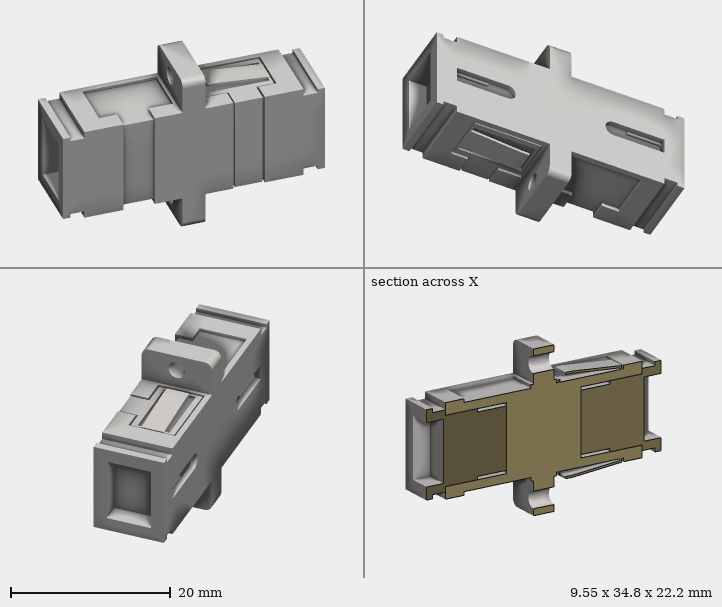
import cadquery as cq
import math

TOTAL_LENGTH = 34.8
WIDTH = 9.55

HOUSING_LENGTH = 29.13
HOUSING_HEIGHT = 12.9
HOUSING_END = HOUSING_LENGTH / 2
HOUSING_TOP = HOUSING_HEIGHT / 2
SIDE = WIDTH / 2

FLANGE_THICKNESS = 3.05
FLANGE_HEIGHT = 22.25
FLANGE_CORNER_RADIUS = 1.0
FLANGE_HOLE_DIAMETER = 2.3
FLANGE_HOLE_SPACING = 18.0

RECESS_DEPTH = 0.5
RECESS_LEFT = -4.0
RECESS_RIGHT = 2.35
RECESS_NEAR = 1.95
RECESS_FAR = 11.8
NECK_NEAR = 5.22
NECK_FAR = 9.4

CLIP_GAP = 0.25
CLIP_THICKNESS = 0.4
CLIP_WINDOW_LEFT = -3.0
CLIP_WINDOW_RIGHT = 1.32
CLIP_WINDOW_NEAR = 2.47
CLIP_WINDOW_FAR = 11.25

TONGUE_LEFT = -2.35
TONGUE_RIGHT = 0.7
TONGUE_BEND = 4.25
TONGUE_TIP = 3.15
TONGUE_TOP = 7.1
TONGUE_THICKNESS = 0.35
TONGUE_ANGLE = 5.0

CAP_NECK_HEIGHT = 11.0
CAP_RIM_HEIGHT = 12.08
CAP_RIM_THICKNESS = 0.97
CAP_LENGTH = (TOTAL_LENGTH - HOUSING_LENGTH) / 2
CAP_END = HOUSING_END + CAP_LENGTH
POCKET_WIDTH = 6.0
POCKET_HEIGHT = 8.5
POCKET_DEPTH = 2.5

WALL = 0.8
SLOT_LENGTH = 8.25
SLOT_HEIGHT = 2.23

COLLAR_WIDTH = WIDTH - 2 * WALL
COLLAR_HEIGHT = CAP_NECK_HEIGHT - 2 * WALL
COLLAR_LENGTH = 4.8
COLLAR_STEP = 0.4
NOSE_WIDTH = COLLAR_WIDTH - 2 * COLLAR_STEP
NOSE_HEIGHT = COLLAR_HEIGHT - 2 * COLLAR_STEP
PLUG_LENGTH = SLOT_LENGTH + WALL

CHANNEL_FLOOR = -NOSE_WIDTH / 2
CHANNEL_BOTTOM = -SLOT_HEIGHT / 2
EDGE_RADIUS = 0.25
EDGE_CURL_RADIUS = 0.28


def block(x_range, y_range, z_range):
    """Box between the given limits along each axis."""
    sizes = [high - low for low, high in (x_range, y_range, z_range)]
    corner = (x_range[0], y_range[0], z_range[0])
    return cq.Workplane("XY").box(*sizes, centered=False).translate(corner)


def end_block(width, height, y_start, y_end):
    """Box centred on the Y axis between two places along it."""
    return block((-width / 2, width / 2), (y_start, y_end), (-height / 2, height / 2))


def mirrored_pair(shape, plane):
    """The shape together with its mirror image."""
    return shape.union(shape.mirror(plane))


def flange():
    """Upright plate with rounded corners."""
    plate = cq.Workplane("XY").box(WIDTH, FLANGE_THICKNESS, FLANGE_HEIGHT)
    return plate.edges("|Y").fillet(FLANGE_CORNER_RADIUS)


def flange_holes():
    """Two screw holes through the flange."""
    return (
        cq.Workplane("XZ")
        .pushPoints([(0, FLANGE_HOLE_SPACING / 2), (0, -FLANGE_HOLE_SPACING / 2)])
        .circle(FLANGE_HOLE_DIAMETER / 2)
        .extrude(FLANGE_THICKNESS, both=True)
    )


def wrap_band(inset, depth_below_surface, thickness):
    """U-shaped layer over the top, +X side and bottom, shrunk by the inset along its outline."""
    outer_side = SIDE - depth_below_surface
    outer_top = HOUSING_TOP - depth_below_surface
    panel_x = (RECESS_LEFT + inset, RECESS_RIGHT - inset)
    panel_y = (RECESS_NEAR + inset, RECESS_FAR - inset)
    neck_x = (panel_x[0], outer_side)
    neck_y = (NECK_NEAR + inset, NECK_FAR - inset)
    full_z = (-outer_top, outer_top)
    inner_top = outer_top - thickness

    solid = block(panel_x, panel_y, full_z).union(block(neck_x, neck_y, full_z))
    core = block((-SIDE, outer_side - thickness), (0, HOUSING_END), (-inner_top, inner_top))
    return solid.cut(core)


def recesses():
    """Clip recesses in both halves of the housing."""
    recess = wrap_band(0, 0, RECESS_DEPTH)
    return mirrored_pair(recess, "XZ")


def bores():
    """Blind bores for the cap plugs, one from each end."""
    bore = end_block(COLLAR_WIDTH, COLLAR_HEIGHT, HOUSING_END - PLUG_LENGTH, HOUSING_END)
    return mirrored_pair(bore, "XZ")


def key_slots():
    """Round-ended slots through the -X wall into the bores."""
    radius = SLOT_HEIGHT / 2
    round_centre = HOUSING_END - SLOT_LENGTH + radius
    straight = block((-SIDE, -SIDE + WALL), (round_centre, HOUSING_END), (-radius, radius))
    round_end = cq.Workplane("YZ", origin=(-SIDE, round_centre, 0)).circle(radius).extrude(WALL)
    return mirrored_pair(straight.union(round_end), "XZ")


def tongue():
    """Upper spring tongue, rising from the far edge of the clip to a level tip."""
    root = RECESS_FAR - CLIP_GAP
    rise = (root - TONGUE_BEND) * math.tan(math.radians(TONGUE_ANGLE))
    root_top = TONGUE_TOP - rise
    outline = [
        (root, root_top),
        (TONGUE_BEND, TONGUE_TOP),
        (TONGUE_TIP, TONGUE_TOP),
        (TONGUE_TIP, TONGUE_TOP - TONGUE_THICKNESS),
        (TONGUE_BEND, TONGUE_TOP - TONGUE_THICKNESS),
        (root, root_top - TONGUE_THICKNESS),
    ]
    return (
        cq.Workplane("YZ", origin=(TONGUE_LEFT, 0, 0))
        .polyline(outline)
        .close()
        .extrude(TONGUE_RIGHT - TONGUE_LEFT)
    )


def clip():
    """Sheet clip round three sides, with a window and a tongue at the top and bottom."""
    band = wrap_band(CLIP_GAP, RECESS_DEPTH - CLIP_THICKNESS, CLIP_THICKNESS)
    windows = block(
        (CLIP_WINDOW_LEFT, CLIP_WINDOW_RIGHT),
        (CLIP_WINDOW_NEAR, CLIP_WINDOW_FAR),
        (-HOUSING_TOP, HOUSING_TOP),
    )
    return band.cut(windows).union(mirrored_pair(tongue(), "XY"))


def make_housing():
    """Housing with its flange and the clip that is one piece with it."""
    body = cq.Workplane("XY").box(WIDTH, HOUSING_LENGTH, HOUSING_HEIGHT)
    body = body.cut(bores()).cut(key_slots()).cut(recesses())
    return body.union(flange()).cut(flange_holes()).union(clip())


def channel_edge_profile(y_position):
    """Round-fronted section that lines the lower corner of the key channel."""
    return (
        cq.Workplane("XZ", origin=(CHANNEL_FLOOR, y_position, CHANNEL_BOTTOM))
        .lineTo(-COLLAR_STEP, 0)
        .radiusArc((EDGE_RADIUS - COLLAR_STEP, EDGE_RADIUS), EDGE_RADIUS)
        .lineTo(0, EDGE_RADIUS)
        .close()
    )


def channel_edge():
    """Rounded lower edge of the key channel, curling up where it meets the cap neck."""
    curl_start = HOUSING_END - EDGE_CURL_RADIUS
    straight = channel_edge_profile(curl_start).extrude(COLLAR_LENGTH - EDGE_CURL_RADIUS)

    curl_height = EDGE_RADIUS + EDGE_CURL_RADIUS
    curl = channel_edge_profile(curl_start).revolve(90, (0, curl_height, 0), (1, curl_height, 0))
    inside_channel = block(
        (CHANNEL_FLOOR - COLLAR_STEP, CHANNEL_FLOOR),
        (curl_start, HOUSING_END),
        (CHANNEL_BOTTOM, CHANNEL_BOTTOM + curl_height),
    )
    return straight.union(curl.intersect(inside_channel))


def plug():
    """Collar and nose that go into the +Y bore, with the key channel in the -X side of the collar."""
    collar_start = HOUSING_END - COLLAR_LENGTH
    collar = end_block(COLLAR_WIDTH, COLLAR_HEIGHT, collar_start, HOUSING_END)
    channel = block(
        (-COLLAR_WIDTH / 2, CHANNEL_FLOOR),
        (collar_start, HOUSING_END),
        (CHANNEL_BOTTOM, -CHANNEL_BOTTOM),
    )
    nose = end_block(NOSE_WIDTH, NOSE_HEIGHT, HOUSING_END - PLUG_LENGTH, HOUSING_END)
    return collar.cut(channel).union(nose).union(mirrored_pair(channel_edge(), "XY"))


def make_cap():
    """Dust cap on the +Y end: necked and rimmed head with a pocket in its face, and a plug behind it."""
    neck = end_block(WIDTH, CAP_NECK_HEIGHT, HOUSING_END, CAP_END)
    rim = end_block(WIDTH, CAP_RIM_HEIGHT, CAP_END - CAP_RIM_THICKNESS, CAP_END)
    pocket = end_block(POCKET_WIDTH, POCKET_HEIGHT, CAP_END - POCKET_DEPTH, CAP_END)
    return neck.union(rim).cut(pocket).union(plug())


housing = make_housing()
far_cap = make_cap()
caps = [far_cap, far_cap.mirror("XZ")]

result = cq.Compound.makeCompound([housing.val(), *[cap.val() for cap in caps]])